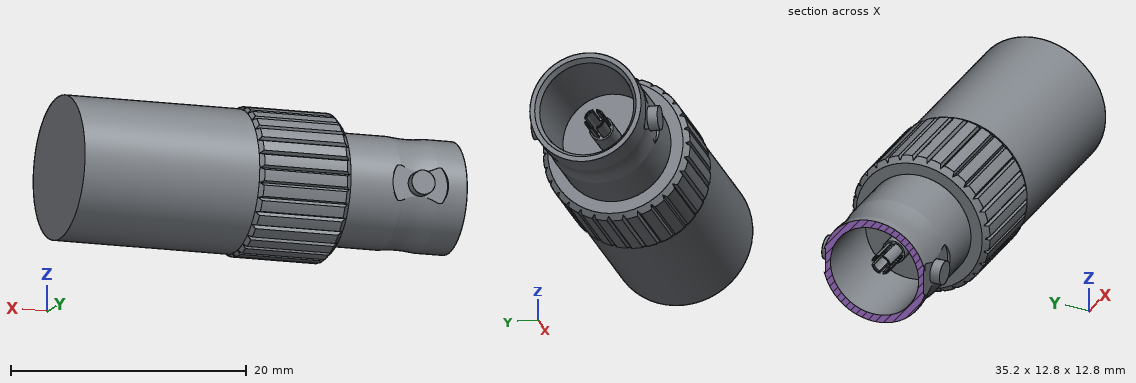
import cadquery as cq
import math

grip_front = 10.95
grip_rear = 19.35
total_length = 35.2

collar_radius = 4.85
bore_radius = 4.1
bore_depth = 9.0
mouth_radius = 4.42
mouth_taper_length = 0.5
waist_start = 2.55
waist_end = 5.9
waist_depth = 0.13

pin_x = (waist_start + waist_end) / 2
pin_radius = 1.05
pin_span = 11.0
spot_face_radius = 2.52
spot_face_span = 9.2

grip_radius = 6.4
front_chamfer = 0.5
rear_chamfer = 0.4
groove_count = 30
groove_width = 0.38
groove_depth = 0.3

barrel_radius = 6.2

contact_front = 3.3
contact_tip_radius = 0.88
contact_base_radius = 1.04
socket_radius = 0.7
socket_mouth_radius = 0.78
socket_depth = 4.0
drill_point_angle = 118
contact_slot_width = 0.33
contact_slot_length = 2.5


def y_cylinder_pair(radius, inner_span, outer_span):
    """Two coaxial cylinders on opposite sides of the axis, at the pin position."""
    length = (outer_span - inner_span) / 2
    one_side = (
        cq.Workplane("XZ", origin=(pin_x, -inner_span / 2, 0)).circle(radius).extrude(length)
    )
    return one_side.union(one_side.mirror("XZ"))


def revolve_about_x(profile):
    return profile.close().revolve(360, (0, 0, 0), (1, 0, 0))


def make_body():
    """Collar with its curved waist, chamfered grip and plain barrel, as one turning."""
    waist_radius = collar_radius - waist_depth
    profile = (
        cq.Workplane("XY")
        .lineTo(0, collar_radius)
        .lineTo(waist_start, collar_radius)
        .threePointArc((pin_x, waist_radius), (waist_end, collar_radius))
        .lineTo(grip_front, collar_radius)
        .lineTo(grip_front, grip_radius - front_chamfer)
        .lineTo(grip_front + front_chamfer, grip_radius)
        .lineTo(grip_rear - rear_chamfer, grip_radius)
        .lineTo(grip_rear, grip_radius - rear_chamfer)
        .lineTo(grip_rear, barrel_radius)
        .lineTo(total_length, barrel_radius)
        .lineTo(total_length, 0)
    )
    return revolve_about_x(profile)


def make_bore():
    """Collar bore with a tapered mouth."""
    profile = (
        cq.Workplane("XY")
        .lineTo(0, mouth_radius)
        .lineTo(mouth_taper_length, bore_radius)
        .lineTo(bore_depth, bore_radius)
        .lineTo(bore_depth, 0)
    )
    return revolve_about_x(profile)


def make_contact():
    """Centre contact with a drilled, countersunk socket and two crossing slots in its tip.

    The slots end at a shoulder, behind which the contact is slightly thicker.
    """
    countersink_depth = socket_mouth_radius - socket_radius
    socket_end = contact_front + socket_depth
    drill_point_length = socket_radius / math.tan(math.radians(drill_point_angle / 2))
    profile = (
        cq.Workplane("XY")
        .moveTo(socket_end + drill_point_length, 0)
        .lineTo(socket_end, socket_radius)
        .lineTo(contact_front + countersink_depth, socket_radius)
        .lineTo(contact_front, socket_mouth_radius)
        .lineTo(contact_front, contact_tip_radius)
        .lineTo(contact_front + contact_slot_length, contact_tip_radius)
        .lineTo(contact_front + contact_slot_length, contact_base_radius)
        .lineTo(bore_depth, contact_base_radius)
        .lineTo(bore_depth, 0)
    )
    slot = cq.Workplane("XY", origin=(contact_front, 0, 0)).box(
        contact_slot_length, 2 * contact_tip_radius, contact_slot_width, centered=(False, True, True)
    )
    crossing_slot = slot.rotate((0, 0, 0), (1, 0, 0), 90)
    return revolve_about_x(profile).cut(slot).cut(crossing_slot)


def make_grip_grooves():
    """Straight V-section knurl grooves, evenly spaced round the grip."""
    half_width = groove_width / 2
    groove = (
        cq.Workplane("YZ", origin=(grip_front, 0, 0))
        .moveTo(grip_radius - groove_depth, 0)
        .lineTo(grip_radius, half_width)
        .lineTo(grip_radius + groove_depth, half_width)
        .lineTo(grip_radius + groove_depth, -half_width)
        .lineTo(grip_radius, -half_width)
        .close()
        .extrude(grip_rear - grip_front)
    )
    grooves = cq.Workplane("XY")
    for index in range(groove_count):
        angle = index * 360 / groove_count
        grooves.add(groove.rotate((0, 0, 0), (1, 0, 0), angle))
    return grooves.combine()


result = make_body()
result = result.cut(make_grip_grooves())
result = result.cut(y_cylinder_pair(spot_face_radius, spot_face_span, pin_span))
result = result.union(y_cylinder_pair(pin_radius, spot_face_span, pin_span))
result = result.cut(make_bore()).union(make_contact())